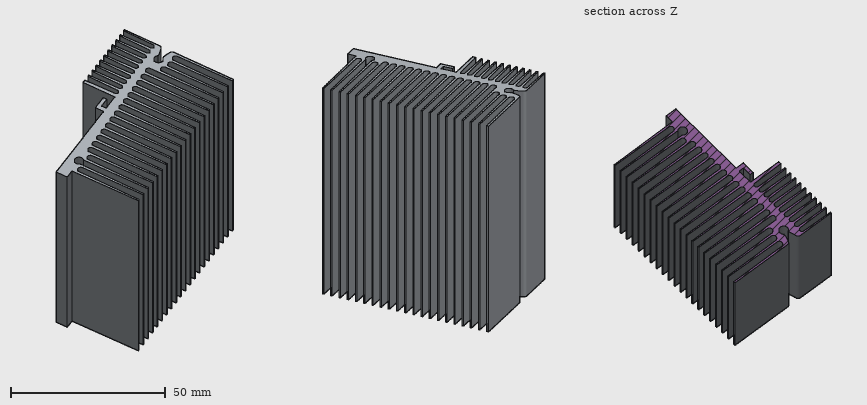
import math

import cadquery as cq

LENGTH = 75.0
WIDTH = 41.0
DEPTH = 63.0

WEB_LEFT = 12.0
FOOT_RIGHT = 16.2

LEFT_SLOTS = 10
LEFT_FIRST_SLOT_DEPTH = 1.5
LEFT_LAST_SLOT_DEPTH = 23.9
LEFT_PITCH = (LEFT_LAST_SLOT_DEPTH - LEFT_FIRST_SLOT_DEPTH) / (LEFT_SLOTS - 1)
LEFT_TIP_THICKNESS = 0.56
LEFT_MOUTH = LEFT_PITCH - LEFT_TIP_THICKNESS
LEFT_DRAFT = math.radians(1.0)
LEFT_BANK_DEPTH = 26.0

RIGHT_FIRST_SLOT_DEPTH = 1.95
RIGHT_LAST_SLOT_DEPTH = 58.05
RIGHT_TIP_THICKNESS = 0.5
RIGHT_DRAFT = math.radians(0.5)

HOLE_X = 15.9
HOLE_RADIUS = 1.5

BESIDE_CHANNEL_ROOT = 19.4
BELOW_CHANNEL_ROOT = 18.5
WEB_ROOT_BACK = 14.6
WEB_ROOT_FRONT = 15.8
WEB_SLOTS = 14
BESIDE_HOLE_ROOT = 17.3
WEB_ROOT_STEP = (WEB_ROOT_FRONT - WEB_ROOT_BACK) / (WEB_SLOTS - 1)
RIGHT_ROOTS = [
    BESIDE_CHANNEL_ROOT,
    BESIDE_CHANNEL_ROOT,
    BELOW_CHANNEL_ROOT,
    *[WEB_ROOT_BACK + WEB_ROOT_STEP * i for i in range(WEB_SLOTS)],
    BESIDE_HOLE_ROOT,
    HOLE_X,
    BESIDE_HOLE_ROOT,
]
RIGHT_PITCH = (RIGHT_LAST_SLOT_DEPTH - RIGHT_FIRST_SLOT_DEPTH) / (len(RIGHT_ROOTS) - 1)
RIGHT_MOUTH = RIGHT_PITCH - RIGHT_TIP_THICKNESS

CHANNEL_X = 15.9
SEAT_RADIUS = 1.5
SEAT_DEPTH = 5.1
NECK_WIDTH = 1.8
NECK_DEPTH = 3.15
MOUTH_WIDTH = 3.75
MOUTH_RADIUS = 1.1

HOOK_LEFT = 8.9
HOOK_LIP_THICKNESS = 1.35
HOOK_ARM_THICKNESS = 1.65
HOOK_FRONT = 29.85
HOOK_BACK = 34.8


def prism(points):
    """Full-length prism over a closed polygon."""
    return cq.Workplane("XY").polyline(points).close().extrude(LENGTH)


def cylinder(x, y, radius):
    """Full-length cylinder along Z."""
    return cq.Workplane("XY").center(x, y).circle(radius).extrude(LENGTH)


def blank():
    """Web, foot and the two solid fin banks before the slots are cut."""
    last_tip_front = DEPTH - RIGHT_LAST_SLOT_DEPTH - RIGHT_MOUTH / 2 - RIGHT_TIP_THICKNESS
    last_root_front = last_tip_front - (WIDTH - FOOT_RIGHT) * math.tan(RIGHT_DRAFT)
    left_bank_front = DEPTH - LEFT_BANK_DEPTH
    return prism(
        [
            (0, DEPTH),
            (0, left_bank_front),
            (WEB_LEFT, left_bank_front),
            (WEB_LEFT, 0),
            (FOOT_RIGHT, 0),
            (FOOT_RIGHT, last_root_front),
            (WIDTH, last_tip_front),
            (WIDTH, DEPTH),
        ]
    )


def hook():
    """Arm standing off the web with a lip turned towards the back."""
    lip_right = HOOK_LEFT + HOOK_LIP_THICKNESS
    arm_back = HOOK_FRONT + HOOK_ARM_THICKNESS
    return prism(
        [
            (HOOK_LEFT, HOOK_FRONT),
            (WEB_LEFT, HOOK_FRONT),
            (WEB_LEFT, arm_back),
            (lip_right, arm_back),
            (lip_right, HOOK_BACK),
            (HOOK_LEFT, HOOK_BACK),
        ]
    )


def cut_screw_channel(body):
    """Cut the neck and mouth, round the mouth edges, then cut the seat."""
    half_mouth = MOUTH_WIDTH / 2
    half_neck = NECK_WIDTH / 2
    neck_back = DEPTH - NECK_DEPTH
    seat_y = DEPTH - SEAT_DEPTH
    opening = prism(
        [
            (CHANNEL_X - half_mouth, DEPTH),
            (CHANNEL_X - half_neck, neck_back),
            (CHANNEL_X - half_neck, seat_y),
            (CHANNEL_X + half_neck, seat_y),
            (CHANNEL_X + half_neck, neck_back),
            (CHANNEL_X + half_mouth, DEPTH),
        ]
    )
    body = body.cut(opening)
    for side in (-1, 1):
        corner = (CHANNEL_X + side * half_mouth, DEPTH, LENGTH / 2)
        body = body.edges(cq.selectors.NearestToPointSelector(corner)).fillet(MOUTH_RADIUS)
    return body.cut(cylinder(CHANNEL_X, seat_y, SEAT_RADIUS))


def slot(root_x, tip_x, y, mouth, draft):
    """Gap between two fins: round at the root, widening by the draft angle to the tip."""
    side = math.copysign(1, tip_x - root_x)
    reach = abs(tip_x - root_x)
    radius = (mouth / 2 - reach * math.sin(draft)) / (math.cos(draft) - math.sin(draft))
    arc_x = root_x + side * radius * (1 - math.sin(draft))
    arc_half_width = radius * math.cos(draft)
    return (
        cq.Workplane("XY")
        .moveTo(tip_x, y + mouth / 2)
        .lineTo(arc_x, y + arc_half_width)
        .threePointArc((root_x, y), (arc_x, y - arc_half_width))
        .lineTo(tip_x, y - mouth / 2)
        .close()
        .extrude(LENGTH)
    )


body = cut_screw_channel(blank().union(hook()))

for i in range(LEFT_SLOTS):
    slot_y = DEPTH - LEFT_FIRST_SLOT_DEPTH - LEFT_PITCH * i
    body = body.cut(slot(WEB_LEFT, 0, slot_y, LEFT_MOUTH, LEFT_DRAFT))

for i, root_x in enumerate(RIGHT_ROOTS):
    slot_y = DEPTH - RIGHT_FIRST_SLOT_DEPTH - RIGHT_PITCH * i
    body = body.cut(slot(root_x, WIDTH, slot_y, RIGHT_MOUTH, RIGHT_DRAFT))

hole_y = DEPTH - RIGHT_LAST_SLOT_DEPTH + RIGHT_PITCH
result = body.cut(cylinder(HOLE_X, hole_y, HOLE_RADIUS))